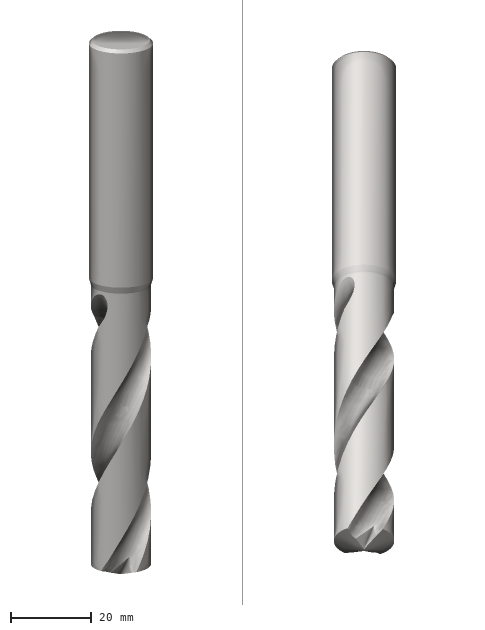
import cadquery as cq
import math

overall_length = 140.0
shank_diameter = 16.0
drill_diameter = 15.0
point_angle = 140.0
cutting_length = 45.0
neck_top = 77.8
neck_cone_length = 1.7
shank_chamfer = 0.8

flute_count = 2
helix_angle = 30.0
flute_radius = 4.45
flute_offset = 7.45
flute_tip_direction = 95.0

runout_bottom = 66.4
runout_rise = 14.0
runout_sideways_angle = 42.0
runout_outward_angle = 9.5

gash_root = cq.Vector(0.1, -0.4, 0.15)
gash_top = cq.Vector(3.1, -2.13, 5.7)
gash_heel = cq.Vector(-2.3, -7.2, 3.2)
gash_lip = cq.Vector(3.85, -3.1, 3.0)
gash_overreach = 1.5
gash_extension = 0.6

shank_radius = shank_diameter / 2
drill_radius = drill_diameter / 2
point_height = drill_radius / math.tan(math.radians(point_angle / 2))
helix_pitch = math.pi * drill_diameter / math.tan(math.radians(helix_angle))
neck_bottom = neck_top - neck_cone_length


def turn_about_axis(shape, angle):
    return shape.rotate((0, 0, 0), (0, 0, 1), angle)


def revolve_outline(outline):
    """Revolve a (radius, height) outline about the drill axis."""
    return cq.Workplane("XZ").polyline(outline).close().revolve(360, (0, 0), (0, 1))


def flute_direction(height):
    """Direction of the first flute at a height, in degrees."""
    return flute_tip_direction + 360 * height / helix_pitch


def flute_profile(height):
    """Flute circle at a height, on the +X side."""
    return cq.Wire.makeCircle(flute_radius, cq.Vector(flute_offset, 0, height), cq.Vector(0, 0, 1))


def helical_flute(bottom, top):
    """Flute twisting about the drill axis between two heights."""
    turn = flute_direction(top) - flute_direction(bottom)
    axis_bottom = cq.Vector(0, 0, bottom)
    rise = cq.Vector(0, 0, top - bottom)
    twisted = cq.Solid.extrudeLinearWithRotation(flute_profile(bottom), [], axis_bottom, rise, turn)
    return turn_about_axis(cq.Workplane(twisted), flute_direction(bottom))


def flute_runout():
    """Straight end of a flute, running out sideways and outwards."""
    outward = runout_rise * math.tan(math.radians(runout_outward_angle))
    sideways = runout_rise * math.tan(math.radians(runout_sideways_angle))
    travel = cq.Vector(outward, sideways, runout_rise)
    straight = cq.Solid.extrudeLinear(flute_profile(runout_bottom), [], travel)
    return turn_about_axis(cq.Workplane(straight), flute_direction(runout_bottom))


def point_gash():
    """V notch along a straight valley that thins the web at the tip."""
    valley = gash_top - gash_root
    heel_corner = gash_root + (gash_heel - gash_root) * gash_overreach
    lip_corner = gash_root + (gash_lip - gash_root) * gash_overreach
    section = cq.Wire.makePolygon([gash_root, heel_corner, lip_corner], close=True)
    section = section.translate(valley * -gash_extension)
    travel = valley * (1 + 2 * gash_extension)
    return cq.Workplane(cq.Solid.extrudeLinear(section, [], travel))


def cut_each_flute(body, tool):
    """Cut the tool from the body once for every flute."""
    for index in range(flute_count):
        body = body.cut(turn_about_axis(tool, 360 * index / flute_count))
    return body


def build_cutting_tip():
    """Fluted lower body with the conical point."""
    body = revolve_outline([
        (0, 0),
        (drill_radius, point_height),
        (drill_radius, cutting_length),
        (0, cutting_length),
    ])
    body = cut_each_flute(body, helical_flute(0, cutting_length))
    return cut_each_flute(body, point_gash())


def build_shank():
    """Upper body: the rest of the flutes, the neck cone and the plain shank."""
    body = revolve_outline([
        (0, cutting_length),
        (drill_radius, cutting_length),
        (drill_radius, neck_bottom),
        (shank_radius, neck_top),
        (shank_radius, overall_length - shank_chamfer),
        (shank_radius - shank_chamfer, overall_length),
        (0, overall_length),
    ])
    body = cut_each_flute(body, helical_flute(cutting_length, runout_bottom))
    return cut_each_flute(body, flute_runout())


cutting_tip = build_cutting_tip()
shank = build_shank()
result = cq.Compound.makeCompound([cutting_tip.solids().val(), shank.solids().val()])